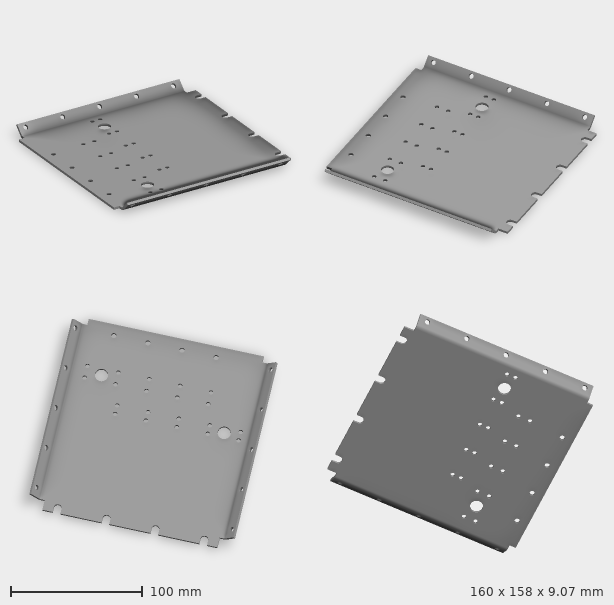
import cadquery as cq
import math

thickness = 2.0
inner_width = 143.0
flange_leg = 10.0
bend_angle = 45.0
inner_bend_radius = 2.0
flange_length = 145.0

panel_width = 136.0
panel_length = 158.0
back_tab = 8.0
flange_back_y = panel_length / 2 - back_tab
flange_mid_y = flange_back_y - flange_length / 2

flange_hole_diameter = 4.0
flange_hole_pitch = 33.0
flange_hole_count = 5
flange_hole_front_margin = 6.0
flange_hole_leg = 6.0

slot_width = 6.0
slot_depth = 7.0
slot_pitch = 38.0
slot_count = 4

pair_hole_diameter = 3.4
pair_pitch = 24.0
pair_count = 5
large_hole_diameter = 10.0
rear_large_hole_gap = 0
front_large_hole_gap = pair_count - 2
rear_pairs_start_x = -64.5
rear_pairs_y = -12.2
rear_pairs_spacing = 7.0
front_pairs_start_x = -35.5
front_pairs_y = -36.9
front_pairs_spacing = 9.7

front_row_hole_diameter = 4.0
front_row_start_x = -33.0
front_row_pitch = 26.5
front_row_count = 4
front_row_y = -70.0


def bent_strip():
    """Flat sheet with both side edges bent up, extruded along the flange length."""
    angle = math.radians(bend_angle)
    outer_bend_radius = inner_bend_radius + thickness
    bend_x = inner_width / 2 - inner_bend_radius * math.tan(angle / 2)
    bend_z = thickness + inner_bend_radius

    def on_bend(radius, turn):
        return (bend_x + radius * math.sin(turn), bend_z - radius * math.cos(turn))

    tip_inner = (
        inner_width / 2 + flange_leg * math.cos(angle),
        thickness + flange_leg * math.sin(angle),
    )
    tip_outer = (
        tip_inner[0] + thickness * math.sin(angle),
        tip_inner[1] - thickness * math.cos(angle),
    )
    half = (
        cq.Workplane("XZ")
        .moveTo(0, 0)
        .lineTo(bend_x, 0)
        .threePointArc(on_bend(outer_bend_radius, angle / 2), on_bend(outer_bend_radius, angle))
        .lineTo(*tip_outer)
        .lineTo(*tip_inner)
        .lineTo(*on_bend(inner_bend_radius, angle))
        .threePointArc(on_bend(inner_bend_radius, angle / 2), (bend_x, thickness))
        .lineTo(0, thickness)
        .close()
        .extrude(flange_length / 2, both=True)
        .translate((0, flange_mid_y, 0))
    )
    return half.union(half.mirror("YZ"))


def flat_panel():
    return cq.Workplane("XY").box(panel_width, panel_length, thickness, centered=(True, True, False))


def row_points(start_x, pitch, count, y):
    return [(start_x + i * pitch, y) for i in range(count)]


def through_holes(points, diameter):
    return cq.Workplane("XY").pushPoints(points).circle(diameter / 2).extrude(thickness)


def paired_holes(start_x, mid_y, spacing, large_hole_gap):
    """Double row of small holes with a large hole centred in one of its gaps."""
    back = row_points(start_x, pair_pitch, pair_count, mid_y + spacing / 2)
    front = row_points(start_x, pair_pitch, pair_count, mid_y - spacing / 2)
    large_hole_x = start_x + (large_hole_gap + 0.5) * pair_pitch
    return through_holes(back + front, pair_hole_diameter).union(
        through_holes([(large_hole_x, mid_y)], large_hole_diameter)
    )


def edge_slots():
    """Round-ended slots opening through the back edge."""
    first_x = -slot_pitch * (slot_count - 1) / 2
    back_y = panel_length / 2
    straight_depth = slot_depth - slot_width / 2
    mouths = row_points(first_x, slot_pitch, slot_count, back_y)
    round_centers = row_points(first_x, slot_pitch, slot_count, back_y - straight_depth)
    straight = (
        cq.Workplane("XY")
        .pushPoints(mouths)
        .rect(slot_width, 2 * straight_depth)
        .extrude(thickness)
    )
    return straight.union(through_holes(round_centers, slot_width))


def flange_holes():
    """Holes square to both flanges."""
    angle = math.radians(bend_angle)
    hole_x = inner_width / 2 + flange_hole_leg * math.cos(angle)
    hole_z = thickness + flange_hole_leg * math.sin(angle)
    first_y = flange_mid_y - flange_length / 2 + flange_hole_front_margin
    into_flange = cq.Vector(math.sin(angle), 0, -math.cos(angle))
    cutters = cq.Workplane("XY")
    for i in range(flange_hole_count):
        start = cq.Vector(hole_x, first_y + i * flange_hole_pitch, hole_z)
        cutters = cutters.add(
            cq.Solid.makeCylinder(flange_hole_diameter / 2, thickness, start, into_flange)
        )
    right = cutters.combine()
    return right.union(right.mirror("YZ"))


result = (
    bent_strip()
    .union(flat_panel())
    .cut(edge_slots())
    .cut(paired_holes(rear_pairs_start_x, rear_pairs_y, rear_pairs_spacing, rear_large_hole_gap))
    .cut(paired_holes(front_pairs_start_x, front_pairs_y, front_pairs_spacing, front_large_hole_gap))
    .cut(through_holes(
        row_points(front_row_start_x, front_row_pitch, front_row_count, front_row_y),
        front_row_hole_diameter,
    ))
    .cut(flange_holes())
)